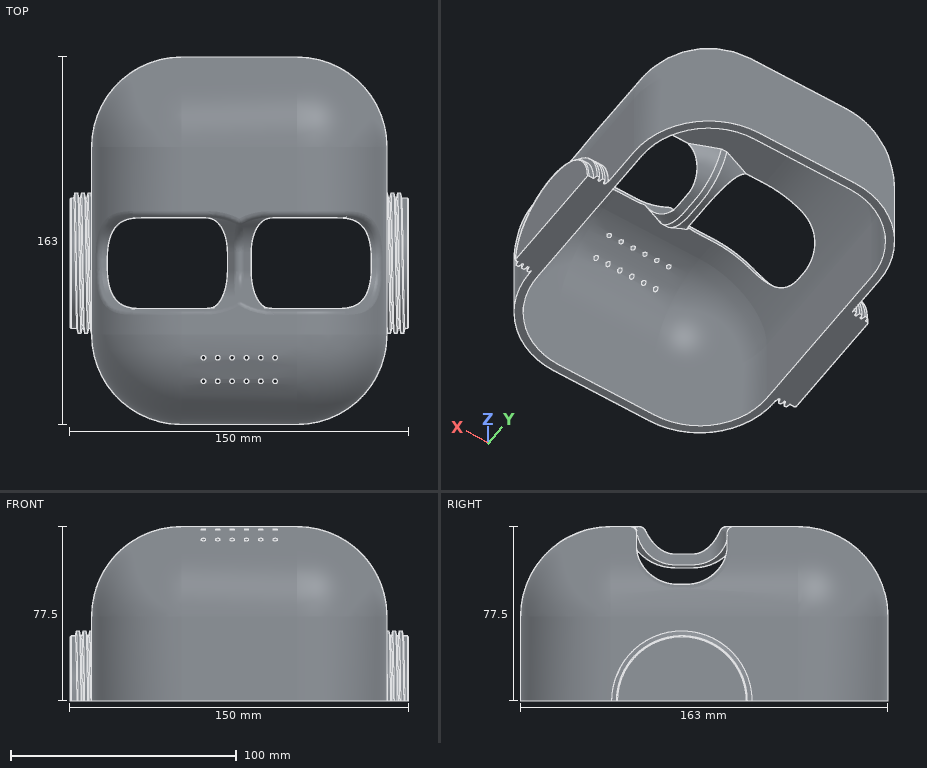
import cadquery as cq
import math

body_length = 163.0
body_width = 131.0
body_height = 77.5
corner_radius = 40.0
wall = 4.0
half_width = body_width / 2

eye_y = -10.0
eye_half_width = 20.0
eye_depth = 25.6
eye_floor_half = 2.0
eye_floor_radius = 18.6
eye_shoulder_radius = 15.2
rim_radius = 3.0

flank_angle = 51.0
crest_depth = 10.5
flank_radius_back = 15.2
flank_radius_front = 16.8

bridge_y = -9.0
bridge_depth = 18.5
bridge_flat_half = 4.0
bridge_arch_radius = 22.0
bridge_core_half = 1.5
bridge_reach = 15.5
bridge_taper = 20.0

overall_width = 150.0
boss_y = eye_y
boss_radius = 29.0
boss_chamfer = 0.5
boss_length = overall_width / 2 - half_width
thread_radius = 31.1
thread_pitch = 3.0
thread_turns = 3
thread_base = 2.5
thread_crest = 1.3
thread_sink = 0.3
thread_end_gap = 2.0

hole_diameter = 2.0
hole_columns = 6
hole_pitch = 6.4
hole_rows_y = (-51.8, -62.3)

tolerance = 0.002


def rounded_body(inset):
    """Body outline shrunk by inset on its top and sides."""
    block = cq.Workplane("XY").box(
        body_width - 2 * inset,
        body_length - 2 * inset,
        body_height - inset,
        centered=(True, True, False),
    )
    return block.edges("|Z or >Z").fillet(corner_radius - inset)


def eye_slot():
    """Slot across the whole width; each lower corner is two tangent arcs."""
    floor_z = body_height - eye_depth
    top_z = body_height + eye_depth
    floor_center_z = floor_z + eye_floor_radius
    shoulder_center_y = eye_half_width - eye_shoulder_radius
    center_gap = eye_floor_radius - eye_shoulder_radius
    lean = math.asin((shoulder_center_y - eye_floor_half) / center_gap)
    shoulder_z = floor_center_z - center_gap * math.cos(lean)
    meet_y = eye_floor_half + eye_floor_radius * math.sin(lean)
    meet_z = floor_center_z - eye_floor_radius * math.cos(lean)
    return (
        cq.Workplane("YZ", origin=(0, eye_y, 0))
        .moveTo(-eye_half_width, top_z)
        .lineTo(-eye_half_width, shoulder_z)
        .tangentArcPoint((-meet_y, meet_z), relative=False)
        .tangentArcPoint((-eye_floor_half, floor_z), relative=False)
        .lineTo(eye_floor_half, floor_z)
        .tangentArcPoint((meet_y, meet_z), relative=False)
        .tangentArcPoint((eye_half_width, shoulder_z), relative=False)
        .lineTo(eye_half_width, top_z)
        .close()
        .extrude(half_width, both=True)
    )


def flank_bar():
    """Sloping bar whose rounded end forms the left flank of the nose bridge."""
    slope = math.radians(flank_angle)
    plane = cq.Plane(
        origin=(0, eye_y, body_height - crest_depth),
        xDir=(math.sin(slope), 0, -math.cos(slope)),
        normal=(math.cos(slope), 0, math.sin(slope)),
    )
    return (
        cq.Workplane(plane)
        .moveTo(-body_width, -eye_half_width)
        .lineTo(-flank_radius_front, -eye_half_width)
        .tangentArcPoint((0, flank_radius_front - eye_half_width), relative=False)
        .lineTo(0, eye_half_width - flank_radius_back)
        .tangentArcPoint((-flank_radius_back, eye_half_width), relative=False)
        .lineTo(-body_width, eye_half_width)
        .close()
        .extrude(body_width, both=True)
    )


def both_sides(right_or_left):
    """The solid joined with its mirror image across the middle of the part."""
    return right_or_left.union(right_or_left.mirror("YZ"))


def is_rim(edge, skin):
    """True for the window edges on the outer skin and for the bridge crest."""
    middle = edge.positionAt(0.5)
    in_window = abs(middle.y - eye_y) < eye_half_width + tolerance
    above_floor = middle.z > body_height - eye_depth - tolerance
    on_skin = skin.distance(cq.Vertex.makeVertex(*middle.toTuple())) < tolerance
    on_crest = abs(middle.x) < tolerance
    return in_window and above_floor and (on_skin or on_crest)


def head_with_eyes():
    """Solid body with both eye windows cut and their rims rounded."""
    body = rounded_body(0)
    head = body.cut(both_sides(eye_slot().intersect(flank_bar())))
    skin = body.val().Shells()[0]
    rims = [edge for edge in head.edges().vals() if is_rim(edge, skin)]
    return head.newObject(rims).fillet(rim_radius)


def bridge_part(start_x, length, taper):
    """Stretch of the space above the bridge arch, grown along +X."""
    arch_z = body_height - bridge_depth
    spring_z = arch_z + bridge_arch_radius
    top_z = 2 * body_height
    foot = bridge_flat_half + bridge_arch_radius
    return (
        cq.Workplane("YZ", origin=(start_x, bridge_y, 0))
        .moveTo(-foot, top_z)
        .lineTo(-foot, spring_z)
        .tangentArcPoint((-bridge_flat_half, arch_z), relative=False)
        .lineTo(bridge_flat_half, arch_z)
        .tangentArcPoint((foot, spring_z), relative=False)
        .lineTo(foot, top_z)
        .close()
        .extrude(length, taper=taper)
    )


def cavity():
    """Inside of the body, leaving the nose bridge standing below the ceiling."""
    core = bridge_part(-bridge_core_half, 2 * bridge_core_half, 0)
    wing = bridge_part(bridge_core_half, bridge_reach - bridge_core_half, bridge_taper)
    return rounded_body(wall).cut(core.union(both_sides(wing)))


def threaded_rod():
    """Full-round threaded rod along Z; its whole turns begin and end on the buried side."""
    rod = cq.Workplane("XY").circle(boss_radius).extrude(boss_length)
    rod = rod.faces(">Z").chamfer(boss_chamfer)
    root = boss_radius - thread_sink
    height = thread_radius - root
    thread_length = thread_turns * thread_pitch
    thread_start = boss_length - thread_end_gap - thread_length
    helix = cq.Wire.makeHelix(thread_pitch, thread_length, root)
    thread = (
        cq.Workplane("XZ", origin=(root, 0, 0))
        .moveTo(0, -thread_base / 2)
        .lineTo(height, -thread_crest / 2)
        .lineTo(height, thread_crest / 2)
        .lineTo(0, thread_base / 2)
        .close()
        .sweep(cq.Workplane(obj=helix), isFrenet=True)
        .translate((0, 0, thread_start))
    )
    return rod.union(thread)


def bosses():
    """Upper halves of two threaded rods; the left one is the right one turned round."""
    right = threaded_rod().rotate((0, 0, 0), (0, 1, 0), 90).translate((half_width, 0, 0))
    pair = right.union(right.rotate((0, 0, 0), (0, 0, 1), 180))
    upper_half = cq.Workplane("XY").box(
        overall_width, body_length, body_height, centered=(True, True, False)
    )
    return pair.intersect(upper_half).translate((0, boss_y, 0))


def breathing_holes():
    """Two rows of vertical holes in front of the eyes."""
    first_x = -hole_pitch * (hole_columns - 1) / 2
    centers = [
        (first_x + column * hole_pitch, row_y)
        for row_y in hole_rows_y
        for column in range(hole_columns)
    ]
    return (
        cq.Workplane("XY")
        .pushPoints(centers)
        .circle(hole_diameter / 2)
        .extrude(body_height)
    )


result = head_with_eyes().union(bosses()).cut(cavity()).cut(breathing_holes())